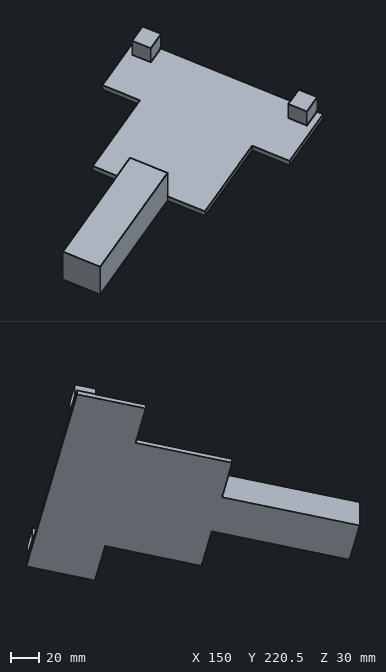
import cadquery as cq

plate_thickness = 5.0
head_width = 150.0
head_length = 50.0
body_width = 90.0
body_length = 70.0

bar_side = 30.0
bar_length = 100.0

post_side = 15.0
post_edge_gap = 5.0
post_rear_overhang = 0.5
post_depth = post_side + post_rear_overhang

head_front_y = 0.0
body_front_y = head_front_y - body_length
bar_front_y = body_front_y - bar_length
post_front_y = head_front_y + head_length - post_side


def box_from(x_center, y_front, z_bottom, width, length, height):
    """Box centred on x_center, growing towards +Y and +Z from its front bottom edge."""
    return (
        cq.Workplane("XY")
        .box(width, length, height, centered=(True, False, False))
        .translate((x_center, y_front, z_bottom))
    )


def make_plate():
    """Flat T-shaped plate: a wide rear head and a narrower body."""
    head = box_from(0, head_front_y, 0, head_width, head_length, plate_thickness)
    body = box_from(0, body_front_y, 0, body_width, body_length, plate_thickness)
    return head.union(body)


def make_bar():
    """Square bar running forward from the body, flush with the plate underside."""
    return box_from(0, bar_front_y, 0, bar_side, bar_length, bar_side)


def make_post(side):
    """Post on top of the head; side is -1 for the left and +1 for the right."""
    x_center = side * (head_width / 2 - post_edge_gap - post_side / 2)
    return box_from(x_center, post_front_y, plate_thickness, post_side, post_depth, post_side)


result = make_plate().union(make_bar())
for side in (-1, 1):
    result = result.union(make_post(side))